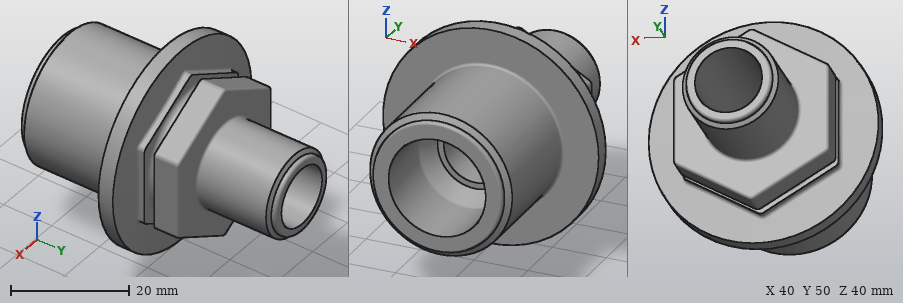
import cadquery as cq
import math

overall_length = 50.0
front_end = -overall_length / 2
rear_end = overall_length / 2

front_body_diameter = 26.4
front_pilot_diameter = 24.1
rear_body_diameter = 16.65
rear_pilot_diameter = 14.95
pilot_length = 0.95
lead_angle = 30.0
edge_radius = 0.5

flange_diameter = 40.0
flange_front = front_end + 22.05
rim_thickness = 3.0
cone_rise = 1.0
cone_inner_radius = 10.0

hex_across_flats = 27.0
hex_corner_radius = 1.0
hex_rear = front_end + 34.0
groove_center = front_end + 27.95
groove_radius = 1.0
groove_bottom_radius = 12.2

bore_diameter = 18.0
seat_diameter = 14.0
through_diameter = 11.7
bore_depth = 12.0
seat_half_angle = 30.0
seat_blend_radius = 1.0


def along_axis(start, end, diameter):
    """Cylinder on the Y axis between two stations."""
    plane = cq.Workplane("XZ", origin=(0, start, 0))
    return plane.circle(diameter / 2).extrude(start - end)


def revolve_profile(profile):
    """Turn an XY profile about the Y axis."""
    return profile.close().revolve(360, (0, 0, 0), (0, 1, 0))


def stepped_end(tip, shoulder, pilot_diameter, body_diameter):
    """Body with a rounded pilot, a lead chamfer and a root fillet at its shoulder."""
    inward = math.copysign(1, shoulder - tip)
    pilot_radius = pilot_diameter / 2
    body_radius = body_diameter / 2
    lead_length = (body_radius - pilot_radius) * math.tan(math.radians(lead_angle))
    pilot_root = tip + inward * pilot_length
    bend = edge_radius * (1 - math.sqrt(0.5))
    profile = (
        cq.Workplane("XY")
        .moveTo(0, tip)
        .lineTo(pilot_radius - edge_radius, tip)
        .threePointArc(
            (pilot_radius - bend, tip + inward * bend),
            (pilot_radius, tip + inward * edge_radius),
        )
        .lineTo(pilot_radius, pilot_root)
        .lineTo(body_radius, pilot_root + inward * lead_length)
        .lineTo(body_radius, shoulder - inward * edge_radius)
        .threePointArc(
            (body_radius + bend, shoulder - inward * bend),
            (body_radius + edge_radius, shoulder),
        )
        .lineTo(0, shoulder)
    )
    return revolve_profile(profile)


def flange():
    rim_rear = flange_front + rim_thickness
    profile = (
        cq.Workplane("XY")
        .moveTo(0, flange_front)
        .lineTo(flange_diameter / 2, flange_front)
        .lineTo(flange_diameter / 2, rim_rear)
        .lineTo(cone_inner_radius, rim_rear + cone_rise)
        .lineTo(0, rim_rear + cone_rise)
    )
    return revolve_profile(profile)


def hexagon():
    """Hexagon prism with corners up and down and a rounded rear rim."""
    corner_diameter = hex_across_flats / math.cos(math.radians(30))
    prism = (
        cq.Workplane("XZ", origin=(0, flange_front, 0))
        .transformed(rotate=(0, 0, 90))
        .polygon(6, corner_diameter)
        .extrude(flange_front - hex_rear)
    )
    return prism.edges("|Y").fillet(hex_corner_radius).faces(">Y").edges().fillet(edge_radius)


def hex_groove():
    """Ring cutter with a half-round bottom."""
    round_center = groove_bottom_radius + groove_radius
    front = groove_center - groove_radius
    rear = groove_center + groove_radius
    outside = flange_diameter / 2
    profile = (
        cq.Workplane("XY")
        .moveTo(outside, front)
        .lineTo(round_center, front)
        .threePointArc((groove_bottom_radius, groove_center), (round_center, rear))
        .lineTo(outside, rear)
    )
    return revolve_profile(profile)


def bore():
    """Wide front bore blended into a conical seat, a flat step and a through hole."""
    half_angle = math.radians(seat_half_angle)
    bore_radius = bore_diameter / 2
    seat_radius = seat_diameter / 2
    blend_start = front_end + bore_depth
    blend_center_radius = bore_radius - seat_blend_radius

    def blend_point(angle):
        return (
            blend_center_radius + seat_blend_radius * math.cos(angle),
            blend_start + seat_blend_radius * math.sin(angle),
        )

    cone_radius, cone_start = blend_point(half_angle)
    cone_end = cone_start + (cone_radius - seat_radius) / math.tan(half_angle)
    profile = (
        cq.Workplane("XY")
        .moveTo(0, front_end)
        .lineTo(bore_radius, front_end)
        .lineTo(bore_radius, blend_start)
        .threePointArc(blend_point(half_angle / 2), (cone_radius, cone_start))
        .lineTo(seat_radius, cone_end)
        .lineTo(0, cone_end)
    )
    return revolve_profile(profile).union(along_axis(front_end, rear_end, through_diameter))


def hex_base_edges(body):
    """Edges where the hexagon meets the conical flange back."""
    half_width = hex_across_flats / 2 + edge_radius
    half_height = hex_across_flats / math.sqrt(3) + edge_radius
    base_front = flange_front + rim_thickness
    base_rear = groove_center - groove_radius - edge_radius
    selector = cq.selectors.BoxSelector(
        (-half_width, base_front, -half_height),
        (half_width, base_rear, half_height),
        boundingbox=True,
    )
    return body.edges(selector)


central_body = flange().union(hexagon())
central_body = hex_base_edges(central_body).fillet(edge_radius)
central_body = central_body.cut(hex_groove())

front_body = stepped_end(front_end, flange_front, front_pilot_diameter, front_body_diameter)
rear_body = stepped_end(rear_end, hex_rear, rear_pilot_diameter, rear_body_diameter)

result = central_body.union(front_body).union(rear_body).cut(bore())